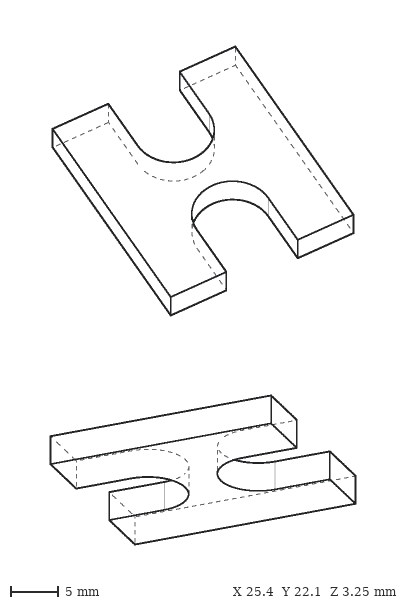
import cadquery as cq

length = 25.4
width = 22.1
thickness = 3.25

slot_width = 8.6
web_width = 4.11
slot_depth = (length - web_width) / 2


def open_slot(side):
    """Through slot entering from the -X (side = -1) or +X (side = 1) edge."""
    return (
        cq.Workplane("XY")
        .center(side * length / 2, 0)
        .slot2D(2 * slot_depth, slot_width)
        .extrude(thickness)
    )


result = cq.Workplane("XY").box(length, width, thickness, centered=(True, True, False))
for side in (-1, 1):
    result = result.cut(open_slot(side))